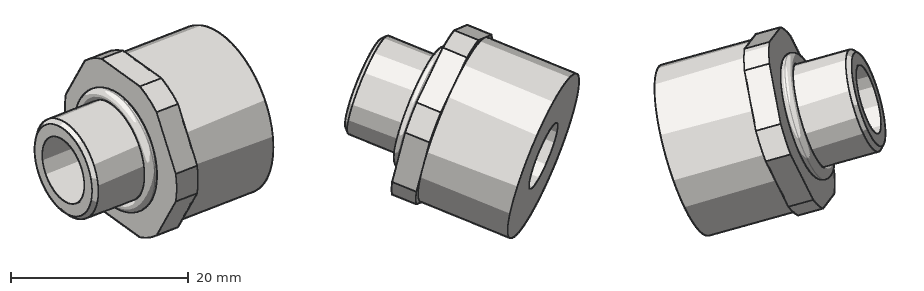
import cadquery as cq
import math

total_length = 22.0
body_length = 11.0
flange_thickness = 3.0
nozzle_length = total_length - body_length - flange_thickness

body_diameter = 20.0
flange_across_flats = body_diameter
flange_corner_diameter = 21.3
nozzle_diameter = 12.0
bore_diameter = 8.0
tip_chamfer = 0.5

ring_section_diameter = 1.43
ring_seat_depth = 0.02


def cylinder(diameter, y_start, length):
    """Solid cylinder on the Y axis, running toward +Y from y_start."""
    return (
        cq.Workplane("XZ", origin=(0, y_start, 0))
        .circle(diameter / 2)
        .extrude(-length)
    )


def hex_flange():
    """Hexagon with flats facing +Z and -Z and its corners turned round."""
    across_corners = flange_across_flats / math.cos(math.pi / 6)
    hexagon = (
        cq.Workplane("XZ")
        .polygon(6, across_corners)
        .extrude(-flange_thickness)
    )
    return hexagon.intersect(cylinder(flange_corner_diameter, 0, flange_thickness))


def nozzle():
    spigot = cylinder(nozzle_diameter, -nozzle_length, nozzle_length)
    return spigot.faces("<Y").chamfer(tip_chamfer)


def sealing_ring():
    section_radius = ring_section_diameter / 2
    seat_offset = section_radius - ring_seat_depth
    ring_radius = nozzle_diameter / 2 + seat_offset
    return (
        cq.Workplane("XY")
        .center(ring_radius, -seat_offset)
        .circle(section_radius)
        .revolve(360, (-ring_radius, 0), (-ring_radius, 1))
    )


body = cylinder(body_diameter, flange_thickness, body_length)
bore = cylinder(bore_diameter, -nozzle_length, total_length)

result = hex_flange().union(body).union(nozzle()).union(sealing_ring()).cut(bore)